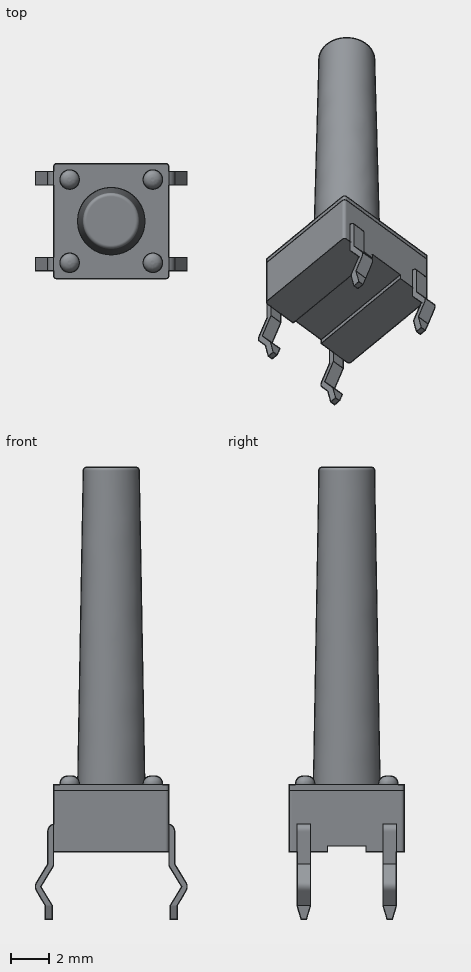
import cadquery as cq
import math

CASE_SIDE = 6.0
CASE_HEIGHT = 3.5
CASE_CORNER_RADIUS = 0.16
COVER_THICKNESS = 0.3
HOUSING_HEIGHT = CASE_HEIGHT - COVER_THICKNESS
NOTCH_WIDTH = 2.0
NOTCH_DEPTH = 0.3

DOME_DIAMETER = 1.0
DOME_HEIGHT = 0.45
DOME_EDGE_RADIUS = 0.4
DOME_OFFSET = 2.16

PIN_DROP = 3.5
PIN_THICKNESS = 0.3
PIN_WIDTH = 0.7
PIN_OFFSET_Y = 2.23
BEND_RADIUS = 0.4
SHOULDER_CENTRE_Z = 1.05
UPPER_BEND_Z = -0.63
KNEE_X = 3.95
KNEE_Z = -1.8
TIP_START_Z = -2.8
TIP_INNER_X = 3.05
TIP_THICKNESS = 0.38
TIP_END_WIDTH = 0.28

BUTTON_BASE_DIAMETER = 3.5
BUTTON_TOP_DIAMETER = 2.91
BUTTON_EDGE_RADIUS = 0.19
OVERALL_HEIGHT = 23.5
BUTTON_HEIGHT = OVERALL_HEIGHT - PIN_DROP - CASE_HEIGHT


def rounded_block(bottom_z, height):
    """Square block with rounded vertical edges."""
    return (
        cq.Workplane("XY", origin=(0, 0, bottom_z))
        .rect(CASE_SIDE, CASE_SIDE)
        .extrude(height)
        .edges("|Z")
        .fillet(CASE_CORNER_RADIUS)
    )


def make_housing():
    """Lower part of the case, with a shallow notch across its underside."""
    notch = cq.Workplane("XY").rect(CASE_SIDE, NOTCH_WIDTH).extrude(NOTCH_DEPTH)
    return rounded_block(0, HOUSING_HEIGHT).cut(notch)


def make_dome(x, y):
    """Round stud on the cover, whose rounded edge leaves only a small flat on top."""
    return (
        cq.Workplane("XY", origin=(x, y, CASE_HEIGHT))
        .circle(DOME_DIAMETER / 2)
        .extrude(DOME_HEIGHT)
        .faces(">Z")
        .edges()
        .fillet(DOME_EDGE_RADIUS)
    )


def make_cover():
    """Cover plate with a dome near each corner."""
    cover = rounded_block(HOUSING_HEIGHT, COVER_THICKNESS)
    for x in (-DOME_OFFSET, DOME_OFFSET):
        for y in (-DOME_OFFSET, DOME_OFFSET):
            cover = cover.union(make_dome(x, y))
    return cover


def make_button():
    """Tapered round button with a rounded top edge."""
    return (
        cq.Workplane("XY", origin=(0, 0, CASE_HEIGHT))
        .circle(BUTTON_BASE_DIAMETER / 2)
        .workplane(offset=BUTTON_HEIGHT)
        .circle(BUTTON_TOP_DIAMETER / 2)
        .loft(ruled=True)
        .faces(">Z")
        .edges()
        .fillet(BUTTON_EDGE_RADIUS)
    )


def pin_profile():
    """Outline of a right-hand pin in the XZ plane, with a rounded shoulder and an outward knee."""
    inner_x = CASE_SIDE / 2
    outer_x = inner_x + PIN_THICKNESS
    tip_outer_x = TIP_INNER_X + TIP_THICKNESS

    shoulder_centre_x = outer_x - BEND_RADIUS
    contact_angle = math.acos((inner_x - shoulder_centre_x) / BEND_RADIUS)

    def shoulder_point(angle):
        return (
            shoulder_centre_x + BEND_RADIUS * math.cos(angle),
            SHOULDER_CENTRE_Z + BEND_RADIUS * math.sin(angle),
        )

    knee_centre_x = KNEE_X - BEND_RADIUS

    def tangent_angle(x, z):
        run = x - knee_centre_x
        rise = z - KNEE_Z
        reach = math.hypot(run, rise)
        side = math.copysign(1, rise)
        return math.atan2(rise, run) - side * math.acos(BEND_RADIUS / reach)

    def knee_point(angle):
        return (
            knee_centre_x + BEND_RADIUS * math.cos(angle),
            KNEE_Z + BEND_RADIUS * math.sin(angle),
        )

    upper_angle = tangent_angle(outer_x, UPPER_BEND_Z)
    lower_angle = tangent_angle(tip_outer_x, TIP_START_Z)

    inner_bend_z = UPPER_BEND_Z - PIN_THICKNESS * math.tan(upper_angle / 2)
    mean_angle = (upper_angle - lower_angle) / 2
    inner_knee_x = knee_centre_x + (BEND_RADIUS - PIN_THICKNESS) / math.cos(mean_angle)

    return (
        cq.Workplane("XZ")
        .moveTo(*shoulder_point(contact_angle))
        .threePointArc(shoulder_point(contact_angle / 2), shoulder_point(0))
        .lineTo(outer_x, UPPER_BEND_Z)
        .lineTo(*knee_point(upper_angle))
        .threePointArc((KNEE_X, KNEE_Z), knee_point(lower_angle))
        .lineTo(tip_outer_x, TIP_START_Z)
        .lineTo(tip_outer_x, -PIN_DROP)
        .lineTo(TIP_INNER_X, -PIN_DROP)
        .lineTo(TIP_INNER_X, TIP_START_Z)
        .lineTo(inner_knee_x, KNEE_Z)
        .lineTo(inner_x, inner_bend_z)
        .close()
    )


def make_pin(side_x, side_y):
    """Bent strip terminal against one side of the housing, with a tip that narrows downwards."""
    strip = pin_profile().extrude(PIN_WIDTH / 2, both=True)
    half_width = PIN_WIDTH / 2
    front_outline = (
        cq.Workplane("YZ")
        .moveTo(-half_width, HOUSING_HEIGHT)
        .lineTo(-half_width, TIP_START_Z)
        .lineTo(-TIP_END_WIDTH / 2, -PIN_DROP)
        .lineTo(TIP_END_WIDTH / 2, -PIN_DROP)
        .lineTo(half_width, TIP_START_Z)
        .lineTo(half_width, HOUSING_HEIGHT)
        .close()
        .extrude(CASE_SIDE)
    )
    pin = strip.intersect(front_outline)
    if side_x < 0:
        pin = pin.mirror("YZ")
    return pin.translate((0, side_y * PIN_OFFSET_Y, 0))


housing = make_housing()
cover = make_cover()
button = make_button()
pins = [make_pin(side_x, side_y) for side_x in (-1, 1) for side_y in (-1, 1)]

result = cq.Compound.makeCompound(
    [housing.val(), cover.val(), button.val(), *[pin.val() for pin in pins]]
)